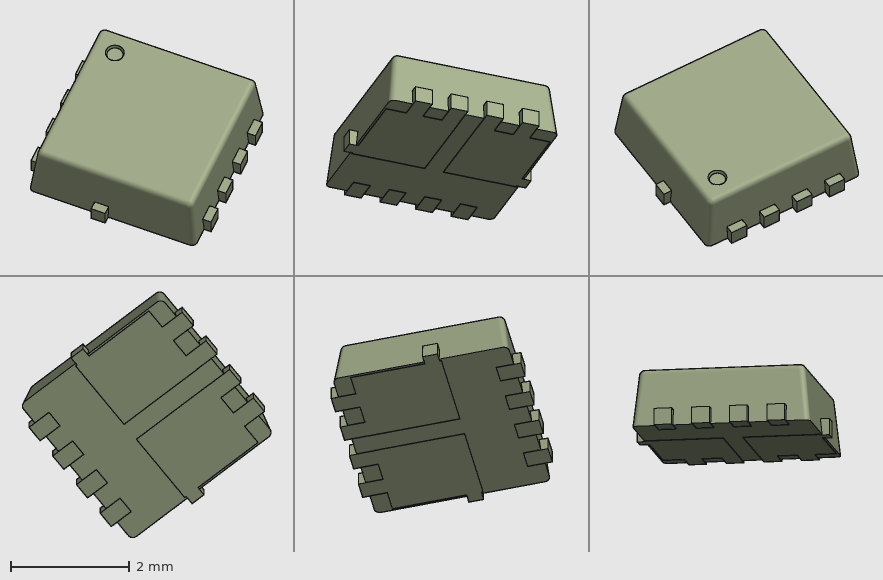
import cadquery as cq
import math

span = 3.3
standoff = 0.01
body_height = 1.0

body_width = 3.05
draft_angle = 6.0
edge_radius = 0.1

lead_height = 0.28
lead_width = 0.305
lead_pitch = 0.647
leads_per_side = 4
lead_length = 0.43
tie_bar_width = 0.257
tie_bar_x = -0.198

pad_left_x = -0.355
pad_gap = 0.335
pad_width_y = 1.32
pad_right_x = span / 2 - lead_length

dimple_offset = 1.005
dimple_top_radius = 0.16
dimple_floor_radius = 0.135
dimple_depth = 0.05


def box_between(x_range, y_range, z_range):
    """Return a box spanning the given coordinate ranges."""
    sizes = [high - low for low, high in (x_range, y_range, z_range)]
    corner = (x_range[0], y_range[0], z_range[0])
    return cq.Workplane("XY").box(*sizes, centered=False).translate(corner)


def make_body():
    """Drafted block with rounded corners, rounded top rim and a tapered dimple."""
    body = (
        cq.Workplane("XY", origin=(0, 0, standoff))
        .rect(body_width, body_width)
        .extrude(body_height, taper=draft_angle)
        .edges("not(|X or |Y)")
        .fillet(edge_radius)
        .faces(">Z")
        .edges()
        .fillet(edge_radius)
    )
    dimple_taper = math.degrees(math.atan((dimple_top_radius - dimple_floor_radius) / dimple_depth))
    dimple = (
        cq.Workplane("XY", origin=(-dimple_offset, dimple_offset, standoff + body_height))
        .circle(dimple_top_radius)
        .extrude(-dimple_depth, taper=dimple_taper)
    )
    return body.cut(dimple)


def add_side_leads(part):
    """Add the row of leads on each X side."""
    for index in range(leads_per_side):
        y = (index - (leads_per_side - 1) / 2) * lead_pitch
        y_range = (y - lead_width / 2, y + lead_width / 2)
        for inner, outer in ((-span / 2, -span / 2 + lead_length), (span / 2 - lead_length, span / 2)):
            part = part.union(box_between((inner, outer), y_range, (0, lead_height)))
    return part


def add_pads_and_tie_bars(part):
    """Add the two exposed pads, each with its tie bar on a Y side."""
    pad_start = pad_gap / 2
    pad_end = pad_start + pad_width_y
    bar_x = (tie_bar_x - tie_bar_width / 2, tie_bar_x + tie_bar_width / 2)
    for side in (-1, 1):
        pad_y = sorted((side * pad_start, side * pad_end))
        bar_y = sorted((side * pad_start, side * span / 2))
        part = part.union(box_between((pad_left_x, pad_right_x), pad_y, (0, lead_height)))
        part = part.union(box_between(bar_x, bar_y, (0, lead_height)))
    return part


result = add_pads_and_tie_bars(add_side_leads(make_body()))